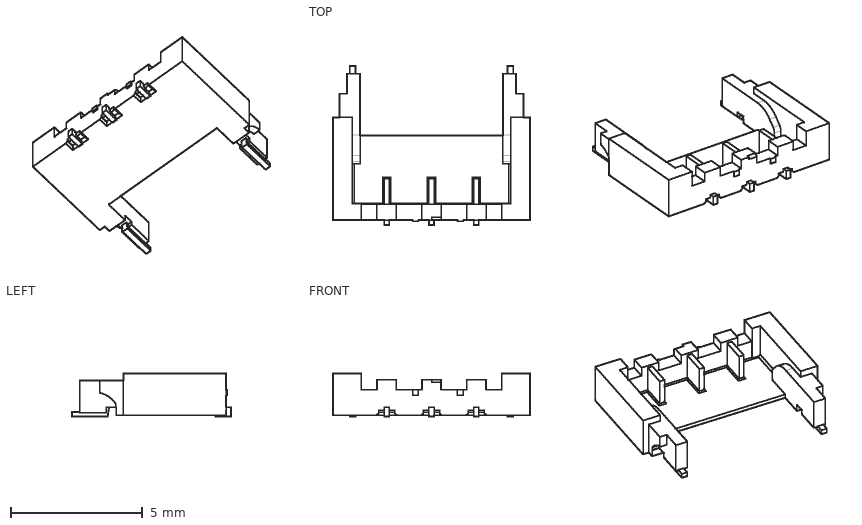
import cadquery as cq
import math


width = 7.5
height = 1.6
side_wall = 0.735
side_depth = 3.9
front_wall = 0.59
floor_depth = 3.22
floor_top = 0.165
post_inner_x = 2.66
post_depth = 0.615
half_inside = width / 2 - side_wall

pitch = 1.7
station_xs = [-pitch, 0.0, pitch]
notch_floor = 0.975
tab_width = 0.735
tab_top = 1.36
mark_depth = 0.11
mark_height = 0.105

bump_width = 0.225
bump_height = 0.22
bump_depth = 0.05
bump_offset = -0.61
bump_xs = [bump_offset, bump_offset + pitch]

rib_width = 0.2
rib_back = 1.575
rib_top = 1.26
side_slope = 0.08
base_slope = 0.05

pin_width = 0.2
pin_front = -0.195
pin_back = 0.41
pin_top = 0.31
standoff = 0.05
recess_width = 0.615
recess_mouth = 0.78
recess_flare_top = 0.08
recess_top = 0.19
recess_step_z = 0.11
recess_step_y = 0.08
recess_depth = pin_back

arm_inner_x = 2.715
arm_thin_x = 3.21
arm_outer_x = 3.5
arm_top = 1.33
arm_bottom = 0.105
arm_front = 2.145
arm_back = 5.56
arm_crest_y = 3.25
ramp_angle = math.radians(47)
crest_radius = 1.07
toe_radius = 0.3
relief_top = 0.3
relief_front = 4.17
relief_back = 4.55
shoulder_back = 4.8
shoulder_low_z = 0.855
shoulder_arc_mid = (4.44, 0.7)
shoulder_arc_end = (4.19, 0.44)

solder_inner_x = 2.88
solder_width = 0.23
solder_back = 5.86
solder_top = 0.135
solder_front_low = 4.49
solder_front_high = 4.44


def block(x0, x1, y0, y1, z0, z1):
    """Box between two opposite corners."""
    return cq.Workplane("XY").box(x1 - x0, y1 - y0, z1 - z0, centered=False).translate((x0, y0, z0))


def extrude_x(profile, x0, x1):
    """Extrude a closed YZ profile between two X positions."""
    return profile.extrude(x1 - x0).translate((x0, 0, 0))


def side_profile(points):
    """Closed outline in the YZ plane."""
    return cq.Workplane("YZ").polyline(points).close()


def both_sides(solid):
    """The solid together with its mirror image across X = 0."""
    return solid.union(solid.mirror("YZ"))


def sloped_foot(x0, x1, y_end, slope):
    """Base flaring down to the pocket floor around a block that ends at y_end."""
    lower = cq.Workplane("XY").workplane(offset=floor_top).moveTo(x0 - slope, 0)
    lower = lower.lineTo(x1 + slope, 0).lineTo(x1 + slope, y_end + slope)
    lower = lower.lineTo(x0 - slope, y_end + slope).close()
    upper = lower.workplane(offset=slope).moveTo(x0, 0)
    upper = upper.lineTo(x1, 0).lineTo(x1, y_end).lineTo(x0, y_end).close()
    return upper.loft(ruled=True)


def make_shell():
    shell = block(-half_inside, half_inside, 0, floor_depth, 0, floor_top)
    shell = shell.union(block(-half_inside, half_inside, 0, front_wall, 0, notch_floor))
    shell = shell.union(both_sides(block(half_inside, width / 2, 0, side_depth, 0, height)))
    shell = shell.union(both_sides(block(post_inner_x, half_inside, 0, post_depth, 0, height)))
    for x in station_xs:
        shell = shell.union(block(x - tab_width / 2, x + tab_width / 2, 0, front_wall, 0, tab_top))
    return shell


def make_mark():
    """Bevel on one half of the middle tab's front edge."""
    profile = side_profile([(0, tab_top), (mark_depth, tab_top), (0, tab_top - mark_height)])
    return extrude_x(profile, 0, tab_width / 2)


def make_floor_slopes():
    """Sloped strips where the side walls and the front wall meet the pocket floor."""
    strip = cq.Workplane("XZ").polyline([
        (half_inside, floor_top), (half_inside - side_slope, floor_top), (half_inside, floor_top + side_slope),
    ]).close().extrude(-floor_depth)
    front = side_profile([
        (front_wall, floor_top), (front_wall + base_slope, floor_top), (front_wall, floor_top + base_slope),
    ])
    return both_sides(strip).union(extrude_x(front, -half_inside, half_inside))


def make_rib(x):
    rib = block(x - rib_width / 2, x + rib_width / 2, 0, rib_back, 0, rib_top)
    return rib.union(sloped_foot(x - rib_width / 2, x + rib_width / 2, rib_back, base_slope))


def make_recess(x):
    """Flared pocket around a pin; its ceiling slopes at both ends with a flat stretch between."""
    half, mouth = recess_width / 2, recess_mouth / 2
    outline = cq.Workplane("XZ").polyline([
        (-mouth, 0), (-half, recess_flare_top), (-half, recess_top),
        (half, recess_top), (half, recess_flare_top), (mouth, 0),
    ]).close().extrude(-recess_depth)
    ceiling = side_profile([
        (0, 0), (0, recess_top), (recess_step_y, recess_step_z),
        (recess_depth - recess_step_z, recess_step_z), (recess_depth, 0),
    ])
    return outline.intersect(extrude_x(ceiling, -mouth, mouth)).translate((x, 0, 0))


def make_pin(x):
    return block(x - pin_width / 2, x + pin_width / 2, pin_front, pin_back, -standoff, pin_top)


def make_bump(x):
    return block(x - bump_width / 2, x + bump_width / 2, -bump_depth, 0, notch_floor - bump_height, notch_floor)


def make_arm():
    """Arm on the +X side: thin blade with a rounded front end, plus a thicker outer shoulder."""
    crest_y = arm_crest_y - crest_radius * math.sin(ramp_angle)
    crest_z = arm_top - crest_radius * (1 - math.cos(ramp_angle))
    toe_y = arm_front + toe_radius * (1 - math.sin(ramp_angle))
    toe_z = crest_z - (crest_y - toe_y) * math.tan(ramp_angle)
    toe_end_z = toe_z - toe_radius * math.cos(ramp_angle)
    blade = (
        cq.Workplane("YZ").moveTo(arm_back, arm_top).lineTo(arm_crest_y, arm_top)
        .tangentArcPoint((crest_y, crest_z), relative=False).lineTo(toe_y, toe_z)
        .tangentArcPoint((arm_front, toe_end_z), relative=False)
        .lineTo(arm_front, 0).lineTo(relief_front, 0).lineTo(relief_front, relief_top)
        .lineTo(relief_back, relief_top).lineTo(relief_back, arm_bottom).lineTo(arm_back, arm_bottom).close()
    )
    shoulder = (
        cq.Workplane("YZ").moveTo(side_depth, 0).lineTo(side_depth, arm_top)
        .lineTo(shoulder_back, arm_top).lineTo(shoulder_back, shoulder_low_z)
        .threePointArc(shoulder_arc_mid, shoulder_arc_end).lineTo(shoulder_arc_end[0], relief_top)
        .lineTo(relief_front, relief_top).lineTo(relief_front, 0).close()
    )
    return extrude_x(blade, arm_inner_x, arm_thin_x).union(extrude_x(shoulder, arm_thin_x, arm_outer_x))


def make_solder_foot():
    """L-shaped foot on the +X side, rising into the relief under the arm."""
    profile = side_profile([
        (solder_back, -standoff), (solder_back, solder_top), (relief_back, solder_top),
        (relief_back, relief_top), (solder_front_high, relief_top), (solder_front_low, -standoff),
    ])
    return extrude_x(profile, solder_inner_x, solder_inner_x + solder_width)


result = make_shell().union(make_floor_slopes()).cut(make_mark())
for station_x in station_xs:
    result = result.union(make_rib(station_x)).cut(make_recess(station_x)).union(make_pin(station_x))
for bump_x in bump_xs:
    result = result.union(make_bump(bump_x))
result = result.union(both_sides(make_arm())).union(both_sides(make_solder_foot()))